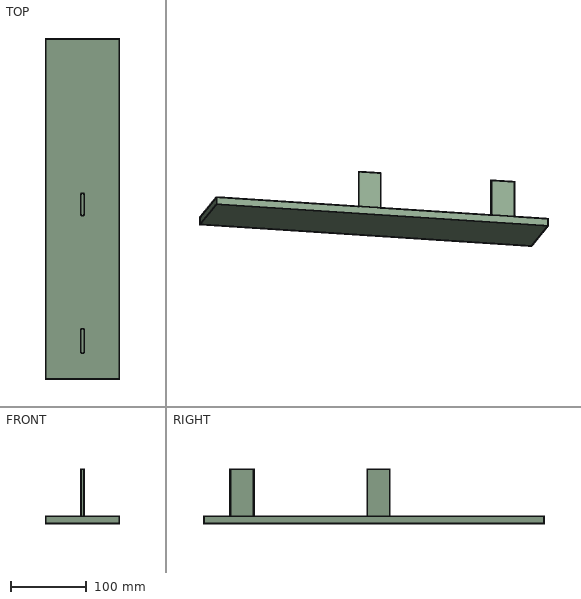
import cadquery as cq

plate_width = 97.5
plate_length = 449.5
plate_thickness = 10.0
total_height = 72.0

blade_thickness = 4.0
rear_blade_length = 30.0
rear_blade_y = 6.0
front_blade_length = 33.0
front_blade_y = -174.5
rear_end_bulge = blade_thickness / 2
front_end_bulge = 1.5


def make_blade(length, center_y, end_bulge):
    """Flat-sided blade along Y whose two narrow ends bulge out as arcs."""
    half_thickness = blade_thickness / 2
    half_length = length / 2
    half_flat = half_length - end_bulge
    return (
        cq.Workplane("XY")
        .moveTo(-half_thickness, -half_flat)
        .threePointArc((0, -half_length), (half_thickness, -half_flat))
        .lineTo(half_thickness, half_flat)
        .threePointArc((0, half_length), (-half_thickness, half_flat))
        .close()
        .extrude(total_height)
        .translate((0, center_y, 0))
    )


plate = cq.Workplane("XY").box(
    plate_width, plate_length, plate_thickness, centered=(True, True, False)
)
rear_blade = make_blade(rear_blade_length, rear_blade_y, rear_end_bulge)
front_blade = make_blade(front_blade_length, front_blade_y, front_end_bulge)

result = plate.union(rear_blade).union(front_blade)